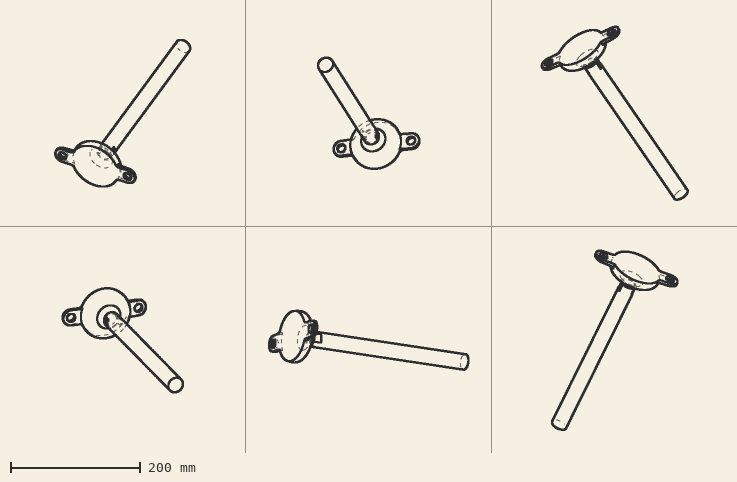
import cadquery as cq
import math

total_length = 311.5

foot_diameter = 80.0
foot_radius = foot_diameter / 2
sole_radius = 39.2
draft_top = 6.0
rim_top = 8.7
shoulder_radius = 8.0
cone_top_radius = 19.3
cone_top = 21.8

dome_mid_radius = 14.0
dome_mid = 27.0
neck_radius = 9.0
neck_height = 30.8

stem_radius = 12.0
stem_bottom = 32.5
flat_bottom = 33.0
flat_top = 46.0
width_across_flats = 20.2
flat_half_width = width_across_flats / 2

overall_width = 136.0
lug_width = 25.2
lug_radius = lug_width / 2
lug_hole_radius = 6.5
lug_tip_thickness = 4.0
lug_root_thickness = 6.0
lug_fillet = 5.5
lug_tip = overall_width / 2
hole_offset = lug_tip - lug_radius


def make_revolved_body():
    """Revolve the foot, the dome, the neck and the round stem about Y."""
    arc_centre = foot_radius - shoulder_radius
    dx = arc_centre - cone_top_radius
    dy = cone_top - rim_top
    reach = math.hypot(dx, dy)
    angle = math.atan2(dy, -dx) - math.acos(shoulder_radius / reach)

    def shoulder_point(a):
        return (arc_centre + shoulder_radius * math.cos(a), rim_top + shoulder_radius * math.sin(a))

    return (
        cq.Workplane("XY")
        .lineTo(sole_radius, 0)
        .lineTo(foot_radius, draft_top)
        .lineTo(foot_radius, rim_top)
        .threePointArc(shoulder_point(angle / 2), shoulder_point(angle))
        .lineTo(cone_top_radius, cone_top)
        .threePointArc((dome_mid_radius, dome_mid), (neck_radius, neck_height))
        .lineTo(stem_radius, stem_bottom)
        .lineTo(stem_radius, total_length)
        .lineTo(0, total_length)
        .close()
        .revolve(360, (0, 0, 0), (0, 1, 0))
    )


def make_lugs():
    """Make both lugs as one plate, blended into the disc and thinning towards the tips."""
    disc = cq.Workplane("XZ").circle(sole_radius).extrude(-lug_root_thickness)
    strap = cq.Workplane("XZ").slot2D(overall_width, lug_width).extrude(-lug_root_thickness)
    root_x = math.sqrt(sole_radius**2 - lug_radius**2)
    plate = disc.union(strap)
    corners = cq.selectors.BoxSelector(
        (-root_x - lug_fillet, -lug_root_thickness, -lug_radius - lug_fillet),
        (root_x + lug_fillet, 2 * lug_root_thickness, lug_radius + lug_fillet),
    )
    plate = plate.edges("|Y").edges(corners).fillet(lug_fillet)
    taper = (
        cq.Workplane("XY")
        .polyline([
            (-lug_tip, 0),
            (lug_tip, 0),
            (lug_tip, lug_tip_thickness),
            (root_x, lug_root_thickness),
            (-root_x, lug_root_thickness),
            (-lug_tip, lug_tip_thickness),
        ])
        .close()
        .extrude(foot_radius, both=True)
    )
    holes = (
        cq.Workplane("XZ")
        .pushPoints([(-hole_offset, 0), (hole_offset, 0)])
        .circle(lug_hole_radius)
        .extrude(-lug_root_thickness)
    )
    return plate.intersect(taper).cut(holes)


def make_flat_cutter(side):
    """Block that cuts one wrench flat on the given X side of the stem."""
    depth = stem_radius - flat_half_width
    return cq.Workplane("XY").box(depth, flat_top - flat_bottom, 2 * stem_radius).translate(
        (side * (flat_half_width + depth / 2), (flat_bottom + flat_top) / 2, 0)
    )


result = make_revolved_body().union(make_lugs())
for side in (-1, 1):
    result = result.cut(make_flat_cutter(side))